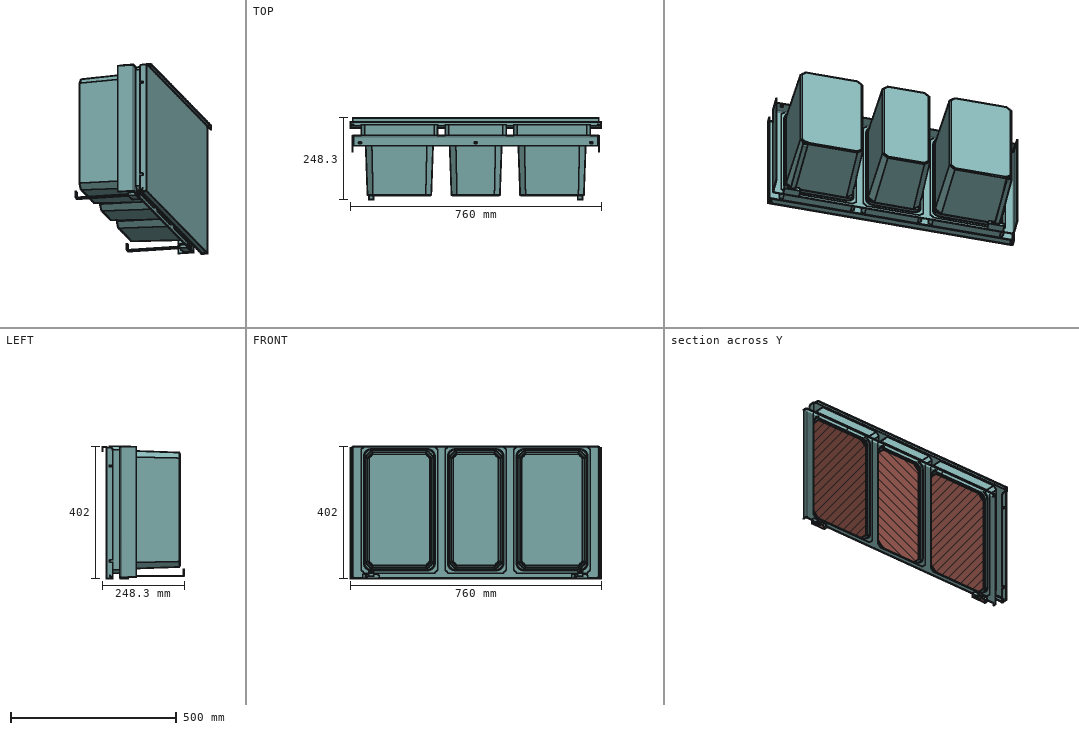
import cadquery as cq


width = 760.0
depth = 248.3
height = 402.0

panel_sheet = 1.5
panel_top = 400.0
panel_back = -11.5
panel_flange_front = -32.0
panel_flange_top = 397.0
panel_hook_width = 746.0
panel_hook_drop = 13.0
panel_hem_back = -23.5
panel_hem_top = 10.0
panel_corner_radius = 6.0
panel_slot_end = -22.5
panel_slots = ((342.0, 5.0), (53.5, 8.0))
panel_hole_diameter = 4.5
panel_hole_x = 372.0
panel_hole_y = -21.5

frame_sheet = 2.0
frame_back = -53.0
frame_width = 749.0
frame_bottom = 3.0
frame_bend = 4.0
frame_side_front = -103.2
frame_side_bottom = 5.0
frame_side_gap = 1.5
frame_top_front = -85.0
frame_slot_length = 8.0
frame_slot_width = 5.0
frame_slot_x = 350.5
frame_slot_y = -75.0

wide_bin = 232.5
narrow_bin = 186.0
bin_spacing = 231.25
bin_bottom = 16.0
bin_rim_back = -21.0
bin_rim_chamfer = 11.0
bin_end = -236.0
bin_step = 12.8
bin_taper = 6.5
bin_neck_step = 10.5
bin_neck_front = -62.0
bin_neck_radius = 21.5
bin_root_corner = 19.5
bin_end_corner = 17.0
bin_end_bevel_length = 2.5
bin_end_bevel_inset = 5.0
opening_inset_x = 8.0
opening_inset_z = 8.6
opening_radius = 24.0

arm_x = 316.5
arm_width = 14.5
arm_sheet = 2.5
arm_bottom = 7.0
arm_end_top = 28.0
arm_bend = 4.0
arm_hole_diameter = 6.0
bracket_left = 26.0
bracket_right = 23.5
bracket_front = -79.0
bracket_top = 14.0
bracket_corner_cut = 5.0
bracket_hole_x = -15.0
bracket_hole_z = 6.5
bracket_hole_diameter = 5.0

frame_front = frame_back - frame_sheet
bin_height = height - bin_bottom
bin_middle = bin_bottom + bin_height / 2
bins = ((-bin_spacing, wide_bin), (0.0, narrow_bin), (bin_spacing, wide_bin))


def box(x0, x1, y0, y1, z0, z1):
    """Block between two opposite corners."""
    return cq.Workplane("XY").box(x1 - x0, y1 - y0, z1 - z0, centered=False).translate((x0, y0, z0))


def along_x(profile, length):
    """Y-Z profile extruded to both sides of X = 0."""
    return profile.extrude(length / 2, both=True)


def bin_bar(centre_x, size_x, size_z, y_back, y_front):
    """Rectangular bar along Y, centred on the bins' middle height."""
    bar = box(-size_x / 2, size_x / 2, y_front, y_back, -size_z / 2, size_z / 2)
    return bar.translate((centre_x, 0, bin_middle))


def panel_side(side):
    """Flange along one side of the panel, with two slots open to the front."""
    flange = (
        cq.Workplane("YZ")
        .moveTo(panel_back, 0)
        .lineTo(panel_flange_front, 0)
        .lineTo(panel_flange_front, panel_flange_top - panel_corner_radius)
        .radiusArc((panel_flange_front + panel_corner_radius, panel_flange_top), panel_corner_radius)
        .lineTo(panel_back, panel_flange_top)
        .close()
        .extrude(panel_sheet)
    )
    for slot_z, slot_width in panel_slots:
        length = 2 * (panel_slot_end - panel_flange_front)
        slot = cq.Workplane("YZ").center(panel_flange_front, slot_z).slot2D(length, slot_width)
        flange = flange.cut(slot.extrude(panel_sheet))
    return flange.translate((-width / 2 if side < 0 else width / 2 - panel_sheet, 0, 0))


def make_panel():
    sheet_front = panel_back - panel_sheet
    sheet = box(-width / 2, width / 2, sheet_front, panel_back, 0, panel_flange_top)
    hook = along_x(
        cq.Workplane("YZ")
        .moveTo(sheet_front, panel_flange_top - panel_sheet)
        .lineTo(sheet_front, panel_top)
        .lineTo(0, panel_top)
        .lineTo(0, panel_top - panel_hook_drop)
        .lineTo(-panel_sheet, panel_top - panel_hook_drop)
        .lineTo(-panel_sheet, panel_top - panel_sheet)
        .lineTo(panel_back, panel_top - panel_sheet)
        .lineTo(panel_back, panel_flange_top - panel_sheet)
        .close(),
        panel_hook_width,
    )
    bottom = along_x(
        cq.Workplane("YZ")
        .moveTo(panel_back, 0)
        .lineTo(panel_flange_front + panel_sheet, 0)
        .lineTo(panel_flange_front, panel_sheet)
        .lineTo(panel_hem_back, panel_hem_top)
        .lineTo(panel_hem_back, panel_hem_top - 2 * panel_sheet)
        .lineTo(panel_flange_front + 2 * panel_sheet, panel_sheet)
        .lineTo(panel_back, panel_sheet)
        .close(),
        width,
    )
    panel = sheet.union(hook).union(bottom)
    for side in (-1, 1):
        hole = cq.Workplane("XY").center(side * panel_hole_x, panel_hole_y).circle(panel_hole_diameter / 2)
        panel = panel.union(panel_side(side)).cut(hole.extrude(panel_sheet))
    return panel


def make_frame():
    half = frame_width / 2
    shell = box(-half, half, frame_side_front, frame_back, frame_bottom, height)
    shell = shell.edges(">Y and (|Z or >Z)").fillet(frame_bend)
    inside = box(
        -half + frame_sheet,
        half - frame_sheet,
        frame_side_front,
        frame_front,
        frame_bottom,
        height - frame_sheet,
    ).edges(">Y and (|Z or >Z)").fillet(frame_bend - frame_sheet)
    frame = shell.cut(inside)
    frame = frame.cut(box(-half, half, frame_side_front, frame_top_front, height - frame_sheet, height))
    for side in (-1, 1):
        x0, x1 = sorted((side * half, side * (half - frame_bend)))
        frame = frame.cut(box(x0, x1, frame_side_front, frame_back, frame_bottom, frame_side_bottom))
        x0, x1 = sorted((side * half, side * (half - frame_sheet - frame_side_gap)))
        frame = frame.cut(box(x0, x1, frame_side_front, frame_back, height - frame_sheet, height))
    for x, size in bins:
        opening = bin_bar(
            x, size - 2 * opening_inset_x, bin_height - 2 * opening_inset_z, frame_back, frame_front
        )
        frame = frame.cut(opening.edges("|Y").fillet(opening_radius))
    slots = (
        cq.Workplane("XY", origin=(0, 0, height - frame_sheet))
        .pushPoints([(x, frame_slot_y) for x in (-frame_slot_x, 0, frame_slot_x)])
        .slot2D(frame_slot_length, frame_slot_width)
        .extrude(frame_sheet)
    )
    return frame.cut(slots)


def body_section(size_x, size_z, corner, y):
    """Rectangle with cut corners, standing across Y."""
    section = cq.Sketch().rect(size_x, size_z).vertices().chamfer(corner)
    return section.moved(cq.Location(cq.Vector(0, 0, -y)))


def make_bin(x, size):
    """Straight rim behind the frame and a neck and tapering body through its opening, bevelled at its end."""
    rim = bin_bar(x, size, bin_height, bin_rim_back, frame_back).edges("|Y").chamfer(bin_rim_chamfer)
    root_x = size - 2 * bin_step
    root_z = bin_height - 2 * bin_step
    end_x = root_x - 2 * bin_taper
    end_z = root_z - 2 * bin_taper
    flat_x = end_x - 2 * bin_end_bevel_inset
    flat_z = end_z - 2 * bin_end_bevel_inset
    flat_corner = bin_end_corner - bin_end_bevel_inset
    root = body_section(root_x, root_z, bin_root_corner, frame_back)
    end = body_section(end_x, end_z, bin_end_corner, bin_end + bin_end_bevel_length)
    flat = body_section(flat_x, flat_z, flat_corner, bin_end)
    plane = cq.Workplane("XZ", origin=(x, 0, bin_middle))
    body = plane.placeSketch(root, end).loft()
    bevel = plane.placeSketch(end, flat).loft()
    neck_x = size - 2 * bin_neck_step
    neck_z = bin_height - 2 * bin_neck_step
    neck = bin_bar(x, neck_x, neck_z, frame_back, bin_neck_front).edges("|Y").fillet(bin_neck_radius)
    return rim.union(neck).union(body).union(bevel)


def make_arm(x):
    """Flat strip from the frame with its front end bent up and pierced."""
    front = -depth
    inner_bend = arm_bend - arm_sheet
    strip = (
        cq.Workplane("YZ")
        .moveTo(frame_front, arm_bottom)
        .lineTo(front + arm_bend, arm_bottom)
        .radiusArc((front, arm_bottom + arm_bend), arm_bend)
        .lineTo(front, arm_end_top)
        .lineTo(front + arm_sheet, arm_end_top)
        .lineTo(front + arm_sheet, arm_bottom + arm_bend)
        .radiusArc((front + arm_bend, arm_bottom + arm_sheet), -inner_bend)
        .lineTo(frame_front, arm_bottom + arm_sheet)
        .close()
    )
    hole_z = (arm_bottom + arm_bend + arm_end_top) / 2
    hole = cq.Workplane("XZ", origin=(0, front + arm_sheet, hole_z)).circle(arm_hole_diameter / 2)
    return along_x(strip, arm_width).cut(hole.extrude(arm_sheet)).translate((x, 0, 0))


def make_bracket(x):
    """Block on the frame's face, with a channel that the arm lies in."""
    block = box(-bracket_left, bracket_right, bracket_front, frame_front, 0, bracket_top)
    block = block.edges("|Y and >X and >Z").chamfer(bracket_corner_cut)
    channel = box(-arm_width / 2, arm_width / 2, bracket_front, frame_front, arm_bottom, bracket_top)
    hole = (
        cq.Workplane("XZ", origin=(bracket_hole_x, frame_front, bracket_hole_z))
        .circle(bracket_hole_diameter / 2)
        .extrude(frame_front - bracket_front)
    )
    return block.cut(channel).cut(hole).translate((x, 0, 0))


panel = make_panel()
frame = make_frame()
bin_bodies = [make_bin(x, size) for x, size in bins]
arms = [make_arm(x) for x in (-arm_x, arm_x)]
brackets = [make_bracket(x) for x in (-arm_x, arm_x)]

result = cq.Compound.makeCompound(
    [body.val() for body in [panel, frame, *bin_bodies, *arms, *brackets]]
)